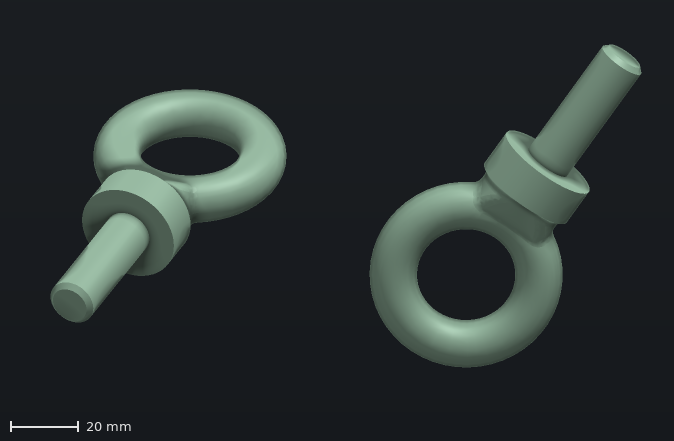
import cadquery as cq
import math

ring_outer_diameter = 57.0
bar_diameter = 14.0
bar_radius = bar_diameter / 2
ring_mean_radius = ring_outer_diameter / 2 - bar_radius

collar_radius = 15.0
collar_thickness = 11.3
collar_top_y = -31.2
collar_bottom_y = collar_top_y - collar_thickness
shank_radius = 7.0
shank_length = 40.0
shank_chamfer = 1.5

neck_radius = 13.0
neck_top_y = -20.0
neck_height = neck_top_y - collar_top_y
flat_slope_deg = 31.0
flat_height_at_collar = 12.9
flat_edge_radius = 3.5
blend_radius = 3.0

position_tolerance = 0.1


def cylinder_along_y(radius, top_y, length):
    """Cylinder about the Y axis, running from top_y toward -Y."""
    return cq.Workplane("XZ", origin=(0, top_y, 0)).circle(radius).extrude(length)


def make_quarter_neck():
    """The +X, +Z quarter of the neck, narrowing in Z toward the ring."""
    flat_height_at_top = flat_height_at_collar - neck_height * math.tan(math.radians(flat_slope_deg))
    wedge = (
        cq.Workplane("YZ")
        .moveTo(collar_top_y, 0)
        .lineTo(collar_top_y, flat_height_at_collar)
        .lineTo(neck_top_y, flat_height_at_top)
        .lineTo(neck_top_y, 0)
        .close()
        .extrude(neck_radius)
    )
    neck = cylinder_along_y(neck_radius, neck_top_y, neck_height).intersect(wedge)
    return neck.edges("%ELLIPSE").fillet(flat_edge_radius)


def make_neck():
    """Whole neck, mirrored from its quarter in X and in Z."""
    quarter = make_quarter_neck()
    half = quarter.union(quarter.mirror("YZ"))
    return half.union(half.mirror("XY"))


def make_collar_and_neck():
    """Neck blended into an oversized square block, then trimmed to the collar radius."""
    block_width = 2 * (neck_radius + 2 * blend_radius)
    block = cq.Workplane("XZ", origin=(0, collar_top_y, 0)).rect(block_width, block_width)
    body = block.extrude(collar_thickness).union(make_neck())
    neck_base = cq.selectors.BoxSelector(
        (-neck_radius, collar_top_y - position_tolerance, -neck_radius),
        (neck_radius, collar_top_y + position_tolerance, neck_radius),
    )
    body = body.edges(neck_base).fillet(blend_radius)
    return body.intersect(cylinder_along_y(collar_radius, neck_top_y, neck_height + collar_thickness))


def make_ring():
    """Full ring, turned so that the seam of its surface lies opposite the neck."""
    ring = cq.Workplane(cq.Solid.makeTorus(ring_mean_radius, bar_radius))
    return ring.rotate((0, 0, 0), (0, 0, 1), 90)


def make_eye():
    """Collar, neck and ring, with a blend where the neck runs into the ring."""
    eye = make_collar_and_neck().union(make_ring())
    neck_seam = eye.faces(">Y").edges("%BSPLINE")
    return neck_seam.fillet(blend_radius)


def make_shank():
    shank = cylinder_along_y(shank_radius, collar_bottom_y, shank_length)
    return shank.faces("<Y").chamfer(shank_chamfer)


result = make_eye().union(make_shank())